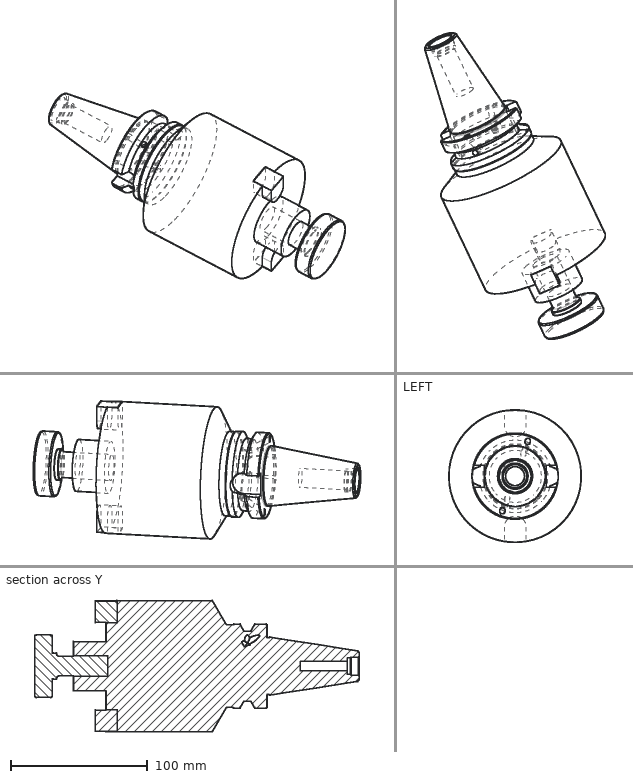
import cadquery as cq
import math


CUT_MARGIN = 1.0

GAUGE_DIA = 44.45
TAPER_LENGTH = 65.4
TAPER_RATIO = 7 / 24
SMALL_END_DIA = GAUGE_DIA - TAPER_RATIO * TAPER_LENGTH
SMALL_END_CHAMFER = 1.0
COLLAR_DIA = 43.4
COLLAR_FILLET = 0.4
COLLAR_CONE_END = 0.8

KNOB_MOUTH_DIA = 19.0
KNOB_ENTRY_DIA = 17.6
KNOB_ENTRY_DEPTH = 6.0
KNOB_PILOT_DIA = 17.0
KNOB_PILOT_DEPTH = 8.7
KNOB_THREAD_DIA = 13.84
KNOB_BORE_DEPTH = 43.0

FLANGE_DIA = 63.0
FLANGE_START = 2.0
FLANGE_END = 27.0
FLANGE_CHAMFER = 0.7
GROOVE_DIA = 53.0
GROOVE_CENTRE = 16.4
GROOVE_FLOOR_WIDTH = 4.9
GROOVE_WALL_RUN = (FLANGE_DIA - GROOVE_DIA) / 2 * math.tan(math.radians(30))
GROOVE_FLOOR_START = GROOVE_CENTRE - GROOVE_FLOOR_WIDTH / 2
GROOVE_FLOOR_END = GROOVE_CENTRE + GROOVE_FLOOR_WIDTH / 2

DRIVE_SLOT_WIDTH = 16.1
DRIVE_SLOT_FLOOR = 22.6
DRIVE_SLOT_END = 23.05

COOLANT_DIA = 4.0
COOLANT_ANGLE = 20.0
COOLANT_CIRCLE_RADIUS = 27.0
COOLANT_TILT = 30.0
COOLANT_DEPTH = 20.0
GROOVE_HOLE_DIA = 4.0
GROOVE_HOLE_DEPTH = 10.0

NECK_DIA = 62.0
NECK_END = 31.6
BODY_DIA = 96.85
BODY_CONE_END = 41.9
BODY_END = 119.7
PILOT_DIA = 38.1
PILOT_LENGTH = 23.81
PILOT_END = BODY_END + PILOT_LENGTH

KEY_WIDTH = 15.875
KEY_LENGTH = KEY_WIDTH
KEY_PROJECTION = KEY_LENGTH / 2
KEY_START = BODY_END + KEY_PROJECTION - KEY_LENGTH
KEY_OUTER = 47.6
KEY_INNER = 29.0

TOTAL_LENGTH = 237.12
SCREW_END = TOTAL_LENGTH - TAPER_LENGTH
SCREW_DIA = 19.05
SCREW_ENGAGEMENT = 25.0
HEAD_DIA = 47.625
HEAD_THICKNESS = 13.0
HEAD_CHAMFER_RUN = 1.2
HEAD_CHAMFER_HEIGHT = 0.6
HEAD_START = SCREW_END - HEAD_THICKNESS
BOSS_DIA = 23.0
BOSS_CHAMFER = 0.4
BOSS_END_DIA = BOSS_DIA - 2 * BOSS_CHAMFER
BOSS_LENGTH = 3.2
BOSS_START = HEAD_START - BOSS_LENGTH
SCREW_FILLET = (BOSS_END_DIA - SCREW_DIA) / 2
SCREW_START = PILOT_END - SCREW_ENGAGEMENT


def turned(points):
    """Solid of revolution about X from (x, radius) points, closed along the axis."""
    first, last = points[0][0], points[-1][0]
    outline = [(first, 0), *points, (last, 0)]
    return cq.Workplane("XY").polyline(outline).close().revolve(360, (0, 0, 0), (1, 0, 0))


def shoulder_fillet(shoulder, shaft_dia, radius):
    """Ring with a concave round, filling the corner of a shaft before the shoulder it meets."""
    shaft_radius = shaft_dia / 2
    bulge = radius * (1 - math.sqrt(0.5))
    return (
        cq.Workplane("XY")
        .moveTo(shoulder - radius, shaft_radius)
        .threePointArc((shoulder - bulge, shaft_radius + bulge), (shoulder, shaft_radius + radius))
        .lineTo(shoulder, shaft_radius)
        .close()
        .revolve(360, (0, 0, 0), (1, 0, 0))
    )


def both_sides(shape):
    """The shape together with its copy half a turn round the X axis."""
    return [shape, shape.rotate((0, 0, 0), (1, 0, 0), 180)]


def holder_blank():
    """Turned shape of taper, flange, neck, body and pilot, without bores or slots."""
    return turned([
        (-TAPER_LENGTH, SMALL_END_DIA / 2 - SMALL_END_CHAMFER),
        (-TAPER_LENGTH + SMALL_END_CHAMFER, SMALL_END_DIA / 2 + SMALL_END_CHAMFER * TAPER_RATIO / 2),
        (0, GAUGE_DIA / 2),
        (COLLAR_CONE_END, COLLAR_DIA / 2),
        (FLANGE_START, COLLAR_DIA / 2),
        (FLANGE_START, FLANGE_DIA / 2 - FLANGE_CHAMFER),
        (FLANGE_START + FLANGE_CHAMFER, FLANGE_DIA / 2),
        (GROOVE_FLOOR_START - GROOVE_WALL_RUN, FLANGE_DIA / 2),
        (GROOVE_FLOOR_START, GROOVE_DIA / 2),
        (GROOVE_FLOOR_END, GROOVE_DIA / 2),
        (GROOVE_FLOOR_END + GROOVE_WALL_RUN, FLANGE_DIA / 2),
        (FLANGE_END - FLANGE_CHAMFER, FLANGE_DIA / 2),
        (FLANGE_END, NECK_DIA / 2),
        (NECK_END, NECK_DIA / 2),
        (BODY_CONE_END, BODY_DIA / 2),
        (BODY_END, BODY_DIA / 2),
        (BODY_END, PILOT_DIA / 2),
        (PILOT_END, PILOT_DIA / 2),
    ])


def knob_bore():
    """Stepped bore: chamfered entry, cone, pilot and thread, in this order from the small end."""
    chamfer_end = -TAPER_LENGTH + (KNOB_MOUTH_DIA - KNOB_ENTRY_DIA) / 2
    entry_floor = -TAPER_LENGTH + KNOB_ENTRY_DEPTH
    cone_end = entry_floor + (KNOB_ENTRY_DIA - KNOB_PILOT_DIA)
    pilot_floor = -TAPER_LENGTH + KNOB_PILOT_DEPTH
    return turned([
        (-TAPER_LENGTH, KNOB_MOUTH_DIA / 2),
        (chamfer_end, KNOB_ENTRY_DIA / 2),
        (entry_floor, KNOB_ENTRY_DIA / 2),
        (cone_end, KNOB_PILOT_DIA / 2),
        (pilot_floor, KNOB_PILOT_DIA / 2),
        (pilot_floor, KNOB_THREAD_DIA / 2),
        (-TAPER_LENGTH + KNOB_BORE_DEPTH, KNOB_THREAD_DIA / 2),
    ])


def drive_slot():
    """Round-ended slot on the -Y side, open towards the taper."""
    radius = DRIVE_SLOT_WIDTH / 2
    arc_centre = DRIVE_SLOT_END - radius
    depth = FLANGE_DIA / 2 - DRIVE_SLOT_FLOOR + CUT_MARGIN
    return (
        cq.Workplane("XZ", origin=(0, -DRIVE_SLOT_FLOOR, 0))
        .moveTo(0, -radius)
        .lineTo(arc_centre, -radius)
        .threePointArc((DRIVE_SLOT_END, 0), (arc_centre, radius))
        .lineTo(0, radius)
        .close()
        .extrude(depth)
    )


def coolant_hole():
    """Hole entering the flange face above the axis and sloping in towards it."""
    tilt = math.radians(COOLANT_TILT)
    inward = cq.Vector(math.cos(tilt), 0, -math.sin(tilt))
    mouth = cq.Vector(FLANGE_START, 0, COOLANT_CIRCLE_RADIUS)
    lead = COOLANT_DIA
    drill = cq.Solid.makeCylinder(COOLANT_DIA / 2, COOLANT_DEPTH + lead, mouth - inward * lead, inward)
    return cq.Workplane(drill).rotate((0, 0, 0), (1, 0, 0), COOLANT_ANGLE)


def groove_hole():
    """Radial hole in the floor of the gripper groove."""
    bottom = GROOVE_DIA / 2 - GROOVE_HOLE_DEPTH
    drill = (
        cq.Workplane("XY", origin=(GROOVE_CENTRE, 0, bottom))
        .circle(GROOVE_HOLE_DIA / 2)
        .extrude(GROOVE_HOLE_DEPTH + CUT_MARGIN)
    )
    return drill.rotate((0, 0, 0), (1, 0, 0), COOLANT_ANGLE)


def key_prism(start, end, outer):
    """Prism along X with the key's outline: straight sides and a full round inner end."""
    half = KEY_WIDTH / 2
    round_centre = KEY_INNER + half
    return (
        cq.Workplane("YZ", origin=(start, 0, 0))
        .moveTo(-half, outer)
        .lineTo(-half, round_centre)
        .threePointArc((0, KEY_INNER), (half, round_centre))
        .lineTo(half, outer)
        .close()
        .extrude(end - start)
    )


def make_holder():
    screw_hole = (
        cq.Workplane("YZ", origin=(SCREW_START, 0, 0)).circle(SCREW_DIA / 2).extrude(SCREW_ENGAGEMENT)
    )
    key_slot = key_prism(KEY_START, BODY_END, BODY_DIA / 2 + CUT_MARGIN)
    collar_round = shoulder_fillet(FLANGE_START, COLLAR_DIA, COLLAR_FILLET)
    holder = holder_blank().union(collar_round).cut(knob_bore()).cut(screw_hole)
    for feature in (drive_slot(), coolant_hole(), groove_hole(), key_slot):
        for cutter in both_sides(feature):
            holder = holder.cut(cutter)
    return holder


def make_drive_keys():
    return both_sides(key_prism(KEY_START, KEY_START + KEY_LENGTH, KEY_OUTER))


def make_lock_screw():
    profile = turned([
        (SCREW_START, SCREW_DIA / 2),
        (BOSS_START, SCREW_DIA / 2),
        (BOSS_START, BOSS_END_DIA / 2),
        (BOSS_START + BOSS_CHAMFER, BOSS_DIA / 2),
        (HEAD_START - BOSS_CHAMFER, BOSS_DIA / 2),
        (HEAD_START, BOSS_END_DIA / 2),
        (HEAD_START, HEAD_DIA / 2 - HEAD_CHAMFER_HEIGHT),
        (HEAD_START + HEAD_CHAMFER_RUN, HEAD_DIA / 2),
        (SCREW_END - HEAD_CHAMFER_RUN, HEAD_DIA / 2),
        (SCREW_END, HEAD_DIA / 2 - HEAD_CHAMFER_HEIGHT),
    ])
    return profile.union(shoulder_fillet(BOSS_START, SCREW_DIA, SCREW_FILLET))


holder = make_holder()
drive_keys = make_drive_keys()
lock_screw = make_lock_screw()

result = cq.Compound.makeCompound([
    holder.val(),
    *[key.val() for key in drive_keys],
    lock_screw.val(),
])